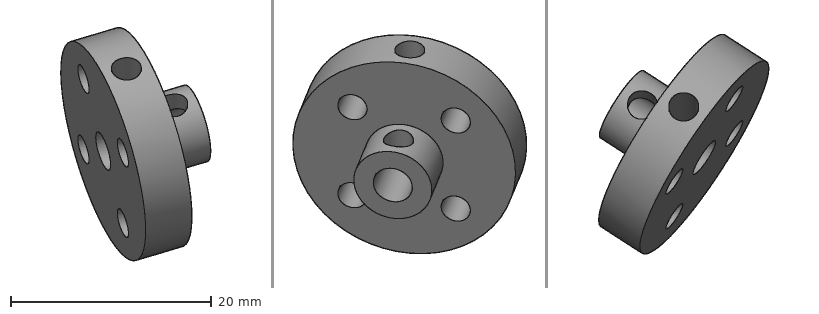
import cadquery as cq

flange_diameter = 22.85
hub_diameter = 8.0
bore_diameter = 4.0
small_hole_diameter = 3.0
bolt_circle_diameter = 15.0
mounting_hole_count = 4
first_hole_angle = 45.0
total_length = 10.0

flange_thickness = total_length / 2
hub_length = total_length - flange_thickness

set_screw_positions = (flange_thickness / 2, flange_thickness + hub_length / 2)


def cylinder_along_y(diameter, start, length):
    """Cylinder on the part axis, running toward +Y from y = start."""
    base = cq.Vector(0, start, 0)
    return cq.Workplane(cq.Solid.makeCylinder(diameter / 2, length, base, cq.Vector(0, 1, 0)))


def mounting_holes():
    """Through holes evenly spaced on the bolt circle of the flange."""
    return (
        cq.Workplane("XZ")
        .polarArray(bolt_circle_diameter / 2, first_hole_angle, 360, mounting_hole_count)
        .circle(small_hole_diameter / 2)
        .extrude(-flange_thickness)
    )


def set_screw_hole(position):
    """Radial hole from the part axis out through the +Z side."""
    base = cq.Vector(0, position, 0)
    radius = small_hole_diameter / 2
    return cq.Workplane(cq.Solid.makeCylinder(radius, flange_diameter, base, cq.Vector(0, 0, 1)))


flange = cylinder_along_y(flange_diameter, 0, flange_thickness)
hub = cylinder_along_y(hub_diameter, flange_thickness, hub_length)
result = flange.union(hub)

result = result.cut(cylinder_along_y(bore_diameter, 0, total_length))
result = result.cut(mounting_holes())

for position in set_screw_positions:
    result = result.cut(set_screw_hole(position))